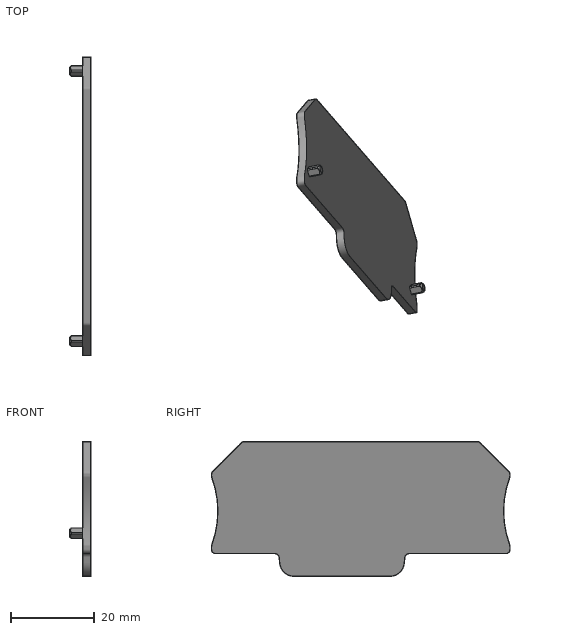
import cadquery as cq
import math

plate_thickness = 2.0
plate_length = 71.6
total_height = 32.35
body_height = 26.9
top_chamfer = 7.45
corner_radius = 1.0

tab_root_width = 30.4
tab_side_angle = 6.0
tab_center_y = -4.5
tab_corner_radius = 3.5

scoop_chord = 16.4
scoop_depth = 1.5
scoop_center_below_top = 16.7

pin_length = 3.1
pin_side = 2.1
pin_diameter = 2.6
pin_turn = 45.0
pin_spacing = 64.8
pin_center_y = 0.1
pin_below_top = 22.0
pin_tip_diameter = 1.7
pin_tip_length = 0.45

half_length = plate_length / 2
body_bottom = total_height - body_height
tab_taper = body_bottom * math.tan(math.radians(tab_side_angle))
tab_root_left = tab_center_y - tab_root_width / 2
tab_root_right = tab_center_y + tab_root_width / 2
scoop_center_z = total_height - scoop_center_below_top
pin_z = total_height - pin_below_top


def make_plate():
    """Plate with chamfered top corners, scooped ends, a lower tab and rounded corners."""
    top_half = half_length - top_chamfer
    shoulder_z = total_height - top_chamfer
    scoop_top = scoop_center_z + scoop_chord / 2
    scoop_bottom = scoop_center_z - scoop_chord / 2
    scoop_floor = half_length - scoop_depth
    plate = (
        cq.Workplane("YZ")
        .moveTo(-top_half, total_height)
        .lineTo(top_half, total_height)
        .lineTo(half_length, shoulder_z)
        .lineTo(half_length, scoop_top)
        .threePointArc((scoop_floor, scoop_center_z), (half_length, scoop_bottom))
        .lineTo(half_length, body_bottom)
        .lineTo(tab_root_right, body_bottom)
        .lineTo(tab_root_right - tab_taper, 0)
        .lineTo(tab_root_left + tab_taper, 0)
        .lineTo(tab_root_left, body_bottom)
        .lineTo(-half_length, body_bottom)
        .lineTo(-half_length, scoop_bottom)
        .threePointArc((-scoop_floor, scoop_center_z), (-half_length, scoop_top))
        .lineTo(-half_length, shoulder_z)
        .close()
        .extrude(plate_thickness)
    )
    plate = plate.faces("<Z").edges("|X").fillet(tab_corner_radius)
    upper_corners = cq.selectors.BoxSelector(
        (-plate_thickness, -plate_length, body_bottom - corner_radius / 2),
        (2 * plate_thickness, plate_length, 2 * total_height),
    )
    return plate.edges("|X").edges(upper_corners).fillet(corner_radius)


def make_pin(y):
    """Pin projecting from the -X face, its square section turned to stand on a corner."""
    square = (
        cq.Workplane("YZ")
        .rect(pin_side, pin_side)
        .extrude(-pin_length)
        .rotate((0, 0, 0), (1, 0, 0), pin_turn)
    )
    pin_radius = pin_diameter / 2
    envelope = (
        cq.Workplane("XY")
        .lineTo(0, pin_radius)
        .lineTo(pin_tip_length - pin_length, pin_radius)
        .lineTo(-pin_length, pin_tip_diameter / 2)
        .lineTo(-pin_length, 0)
        .close()
        .revolve(360, (0, 0, 0), (1, 0, 0))
    )
    return square.intersect(envelope).translate((0, y, pin_z))


result = make_plate()
for side in (-1, 1):
    result = result.union(make_pin(pin_center_y + side * pin_spacing / 2))